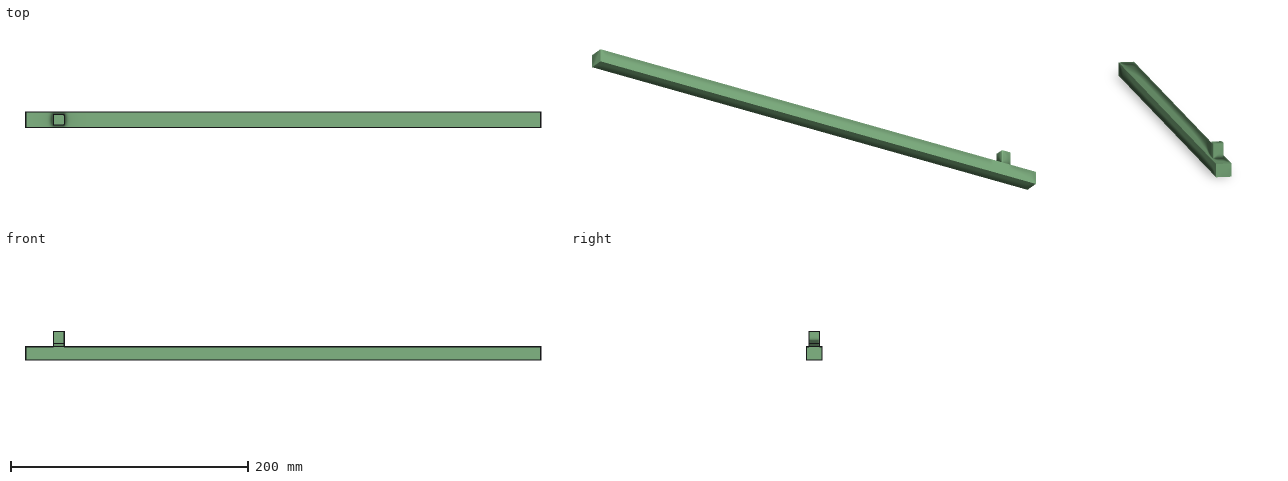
import cadquery as cq

bar_length = 434.34
bar_width = 13.21
overall_height = 24.13

bar_height = 11.43
stub_height = 2.54

post_side = 9.16
post_corner_radius = 1.016
post_center_from_end = 27.94
post_height = overall_height - bar_height - stub_height
post_x = post_center_from_end - bar_length / 2


def make_rounded_column(base_z, height):
    """Square column with rounded vertical corners, on the post axis."""
    return (
        cq.Workplane("XY", origin=(post_x, 0, base_z))
        .box(post_side, post_side, height, centered=(True, True, False))
        .edges("|Z")
        .fillet(post_corner_radius)
    )


def make_bar():
    """Long rectangular bar with the stub joined to its top face."""
    beam = cq.Workplane("XY").box(bar_length, bar_width, bar_height, centered=(True, True, False))
    stub = make_rounded_column(bar_height, stub_height)
    return beam.union(stub)


def make_post():
    """Post whose sides continue those of the stub below it."""
    return make_rounded_column(bar_height + stub_height, post_height)


bar = make_bar()
post = make_post()
result = cq.Compound.makeCompound([bar.val(), post.val()])